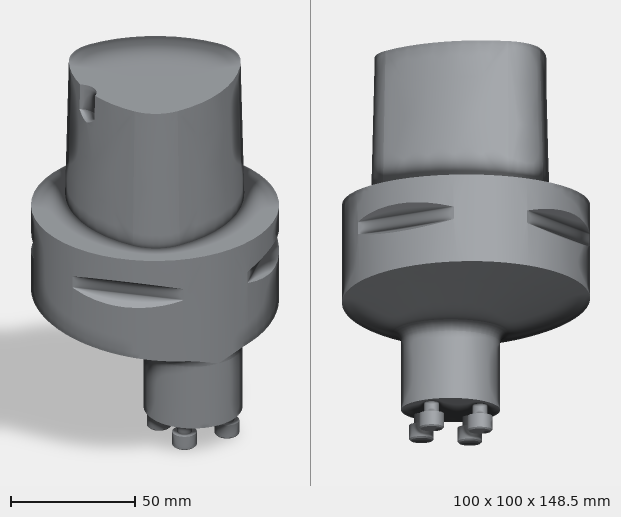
import cadquery as cq
import math


overall_height = 148.5

flange_radius = 49.98
flange_rim_height = 36.0

shank_height = 60.0
shank_mean_radius = 36.1
lobe_offset = 2.7
lobe_angles = (90, 210, 330)
arc_half_span = 30
shank_taper_ratio = 1 / 40

keyway_radius = 7.0
keyway_axis_y = -35.5
keyway_depth = 11.1
keyway_tip_height = 5.6

groove_count = 4
groove_first_angle = 45
groove_depth = 5.6
groove_floor_height = 5.0
groove_wall_angle = 30
groove_centre_z = -15.9
groove_corner_fillet = 0.5

nose_radius = 19.98
nose_x = flange_radius - nose_radius
nose_bottom_z = -77.8
nose_fillet = 4.0
cone_angle = 10
trim_margin = 1.5

screw_pitch = 19.9
screw_shaft_radius = 3.0
screw_head_radius = 4.98
screw_gap = 4.5
screw_total = overall_height - shank_height + nose_bottom_z
screw_head_chamfer = 0.6


def polar(radius, degrees):
    angle = math.radians(degrees)
    return (radius * math.cos(angle), radius * math.sin(angle))


def make_shank():
    centre_distance = lobe_offset / (1 - math.cos(math.radians(arc_half_span)))
    lobe_radius = shank_mean_radius + lobe_offset - centre_distance

    def lobe_end(lobe_angle, side):
        centre = polar(centre_distance, lobe_angle)
        reach = polar(lobe_radius, lobe_angle + side * arc_half_span)
        return (centre[0] + reach[0], centre[1] + reach[1])

    outline = cq.Workplane("XY").moveTo(*lobe_end(lobe_angles[0], -1))
    for lobe_angle in lobe_angles:
        lobe_tip = polar(shank_mean_radius + lobe_offset, lobe_angle)
        flank_middle = polar(shank_mean_radius - lobe_offset, lobe_angle + 2 * arc_half_span)
        outline = outline.threePointArc(lobe_tip, lobe_end(lobe_angle, 1))
        outline = outline.threePointArc(flank_middle, lobe_end(lobe_angle + 4 * arc_half_span, -1))
    taper_angle = math.degrees(math.atan(shank_taper_ratio))
    return outline.close().extrude(shank_height, taper=taper_angle)


def make_keyway():
    floor_z = shank_height - keyway_depth
    profile = (
        cq.Workplane("XZ")
        .moveTo(0, shank_height)
        .lineTo(keyway_radius, shank_height)
        .lineTo(keyway_radius, floor_z)
        .lineTo(0, floor_z - keyway_tip_height)
        .close()
    )
    return profile.revolve(360, (0, 0), (0, 1)).translate((0, keyway_axis_y, 0))


def make_flange_and_nose():
    slope = math.tan(math.radians(cone_angle))
    far_reach = nose_x + flange_radius
    cone_base_z = -flange_rim_height - slope * (far_reach - nose_radius)
    tangent_length = nose_fillet * math.tan(math.radians((90 - cone_angle) / 2))
    fillet_bottom_z = cone_base_z - tangent_length
    fillet_top = (
        nose_radius + tangent_length * math.cos(math.radians(cone_angle)),
        cone_base_z + tangent_length * math.sin(math.radians(cone_angle)),
    )
    outer_reach = far_reach + trim_margin
    outer_z = -flange_rim_height + slope * trim_margin

    underside = (
        cq.Workplane("XZ")
        .lineTo(outer_reach, 0)
        .lineTo(outer_reach, outer_z)
        .lineTo(*fillet_top)
        .radiusArc((nose_radius, fillet_bottom_z), -nose_fillet)
        .lineTo(0, fillet_bottom_z)
        .close()
        .revolve(360, (0, 0), (0, 1))
        .translate((nose_x, 0, 0))
    )
    flange = (
        cq.Workplane("XY")
        .circle(flange_radius)
        .extrude(fillet_bottom_z)
        .intersect(underside)
    )
    nose = (
        cq.Workplane("XY", origin=(nose_x, 0, fillet_bottom_z))
        .circle(nose_radius)
        .extrude(nose_bottom_z - fillet_bottom_z)
    )
    return flange.union(nose)


def make_groove():
    floor_x = flange_radius - groove_depth
    flare = groove_depth * math.tan(math.radians(groove_wall_angle))
    half_floor = groove_floor_height / 2
    return (
        cq.Workplane("XZ", origin=(0, 0, groove_centre_z))
        .moveTo(floor_x, -half_floor)
        .lineTo(flange_radius, -half_floor - flare)
        .lineTo(flange_radius, half_floor + flare)
        .lineTo(floor_x, half_floor)
        .close()
        .extrude(flange_radius, both=True)
        .faces("<X")
        .edges("|Y")
        .fillet(groove_corner_fillet)
    )


def make_screw():
    shaft = cq.Workplane("XY").circle(screw_shaft_radius).extrude(-screw_gap)
    head = (
        cq.Workplane("XY", origin=(0, 0, -screw_gap))
        .circle(screw_head_radius)
        .extrude(screw_gap - screw_total)
        .faces("<Z")
        .chamfer(screw_head_chamfer)
    )
    return shaft.union(head)


result = make_flange_and_nose().union(make_shank().cut(make_keyway()))

for index in range(groove_count):
    angle = groove_first_angle + index * 360 / groove_count
    result = result.cut(make_groove().rotate((0, 0, 0), (0, 0, 1), angle))

for side_x in (-1, 1):
    for side_y in (-1, 1):
        screw_x = nose_x + side_x * screw_pitch / 2
        screw_y = side_y * screw_pitch / 2
        result = result.union(make_screw().translate((screw_x, screw_y, nose_bottom_z)))